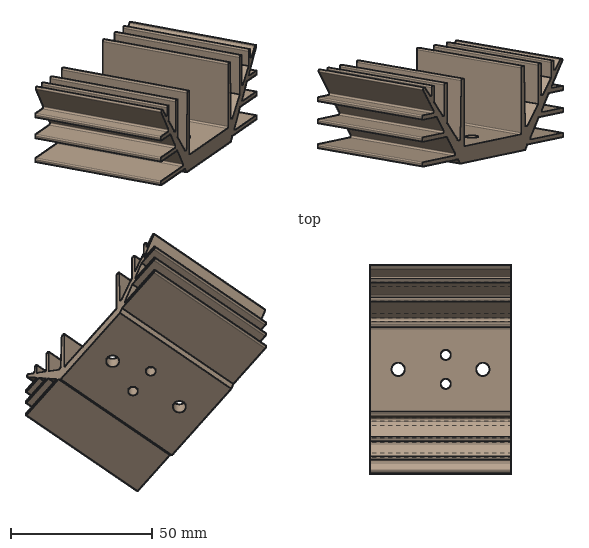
import cadquery as cq
import math

length = 50.0
width = 74.2
height = 30.5

base_thickness = 6.0
base_half_width = 17.1
channel_half_width = 15.0

spine_under_angle = 56.4
spine_over_angle = 51.1
spine_over_y = 18.2
spine_over_z = 8.5
spine_top = 30.2

inner_fin_tip = 1.55
inner_fin_root = 2.1

upright_fins = [(23.9, 1.55), (30.7, 1.3)]

level_fin_bottoms = [1.8, 10.75, 18.7]
level_fin_thickness = 1.6

fin_overlap = 0.4

edge_radius = 0.5
inner_valley_radius = 0.75
channel_radius = 0.6

mount_hole_diameter = 4.6
mount_hole_spacing = 30.0
pin_hole_diameter = 3.5
pin_hole_spacing = 10.25
pin_hole_x = 1.85

under_slope = math.tan(math.radians(spine_under_angle))
over_slope = math.tan(math.radians(spine_over_angle))


def under_y(z):
    """Y of the spine's lower face at height z."""
    return base_half_width + z / under_slope


def over_y(z):
    """Y of the spine's upper face at height z."""
    return spine_over_y + (z - spine_over_z) / over_slope


def over_z(y):
    """Height of the spine's upper face at distance y."""
    return spine_over_z + (y - spine_over_y) * over_slope


def prism(points):
    """Extrude a (Y, Z) outline over the full length."""
    return cq.Workplane("YZ").polyline(points).close().extrude(length / 2, both=True)


def round_edge(body, y, z, radius):
    """Fillet the lengthwise edge at (y, z)."""
    return body.edges(cq.selectors.NearestToPointSelector((0, y, z))).fillet(radius)


def base_and_spine():
    body = prism([
        (0, 0),
        (base_half_width, 0),
        (under_y(spine_top), spine_top),
        (over_y(spine_top), spine_top),
        (over_y(base_thickness), base_thickness),
        (0, base_thickness),
    ])
    body = round_edge(body, under_y(spine_top), spine_top, edge_radius)
    return round_edge(body, over_y(spine_top), spine_top, edge_radius)


def inner_fin():
    root_z = base_thickness / 2
    taper = (inner_fin_root - inner_fin_tip) / (height - spine_over_z)
    root_thickness = inner_fin_tip + taper * (height - root_z)
    fin = prism([
        (channel_half_width, root_z),
        (channel_half_width + root_thickness, root_z),
        (channel_half_width + inner_fin_tip, height),
        (channel_half_width, height),
    ])
    return fin.faces(">Z").edges("|X").fillet(edge_radius)


def upright_fin(inner_y, thickness):
    outer_y = inner_y + thickness
    root_z = over_z(inner_y) - fin_overlap
    fin = prism([(inner_y, root_z), (outer_y, root_z), (outer_y, spine_top), (inner_y, spine_top)])
    return fin.faces(">Z").edges("|X").fillet(edge_radius)


def level_fin(bottom):
    top = bottom + level_fin_thickness
    root_y = under_y(bottom) - fin_overlap
    tip_y = width / 2
    fin = prism([(root_y, bottom), (tip_y, bottom), (tip_y, top), (root_y, top)])
    return fin.faces(">Y").edges("|X").fillet(edge_radius)


def half_profile():
    """The side of the heat sink with positive Y."""
    body = base_and_spine().union(inner_fin())
    for inner_y, thickness in upright_fins:
        body = body.union(upright_fin(inner_y, thickness))
    for bottom in level_fin_bottoms:
        body = body.union(level_fin(bottom))

    body = round_edge(body, channel_half_width, base_thickness, channel_radius)
    inner_valley_y = channel_half_width + inner_fin_root
    body = round_edge(body, inner_valley_y, over_z(inner_valley_y), inner_valley_radius)
    for inner_y, thickness in upright_fins:
        outer_y = inner_y + thickness
        body = round_edge(body, outer_y, over_z(outer_y), edge_radius)
    for bottom in level_fin_bottoms:
        top = bottom + level_fin_thickness
        body = round_edge(body, under_y(top), top, edge_radius)
    return body


def drill(body, points, diameter):
    """Drill vertical through holes in the base at the given (X, Y) points."""
    drills = cq.Workplane("XY").pushPoints(points).circle(diameter / 2).extrude(height)
    return body.cut(drills)


half = half_profile()
result = half.union(half.mirror("XZ"))

mount_x = mount_hole_spacing / 2
result = drill(result, [(-mount_x, 0), (mount_x, 0)], mount_hole_diameter)
pin_y = pin_hole_spacing / 2
result = drill(result, [(pin_hole_x, -pin_y), (pin_hole_x, pin_y)], pin_hole_diameter)